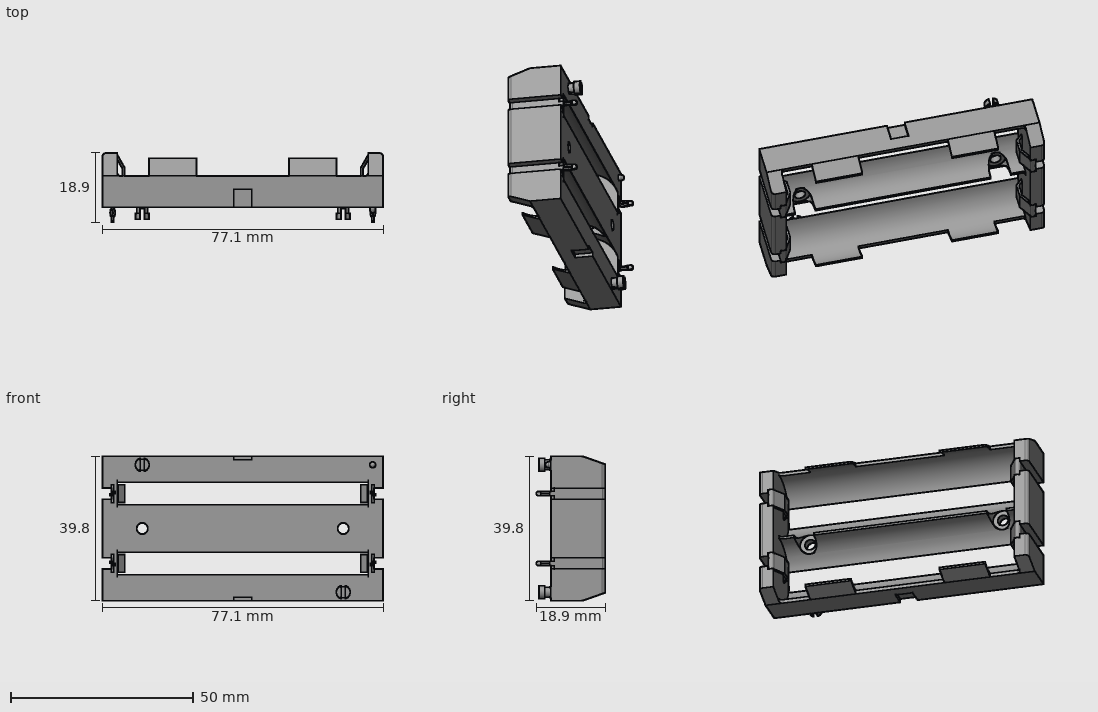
import cadquery as cq
import math


length = 77.1
width = 39.8
wall_height = 14.95
rim_height = 8.6
end_wall = 4.1
wall_top_slope = 2.2
outer_fillet = 1.0
foot_fillet = 0.9

cell_pitch = 19.2
cell_radius = 9.25
window_width = 6.1
trough_axis_y = math.sqrt(cell_radius**2 - (window_width / 2) ** 2)

tab_length = 13.1
tab_offset = 19.2
tab_top = 13.6
tab_stock = 0.9
tab_embed = 0.8

hole_offset = 27.6
hole_diameter = 3.0
counterbore_diameter = 5.7
counterbore_floor = 2.3
post_offset_z = 17.5
post_diameter = 3.1
post_head_diameter = 3.8
post_neck_length = 1.6
post_length = 3.3
post_slit = 1.15
post_slit_root = 0.3
pin_offset_x = 35.7
pin_diameter = 1.6
pin_shank = 0.7

notch_length = 4.9
notch_height = 4.9
notch_depth = 1.0

sheet = 0.7
contact_width = 4.9
contact_inset = 2.5
groove_width = 3.0
shoulder_height = 1.0
fold_radius = 0.85
arm_angle = 30.0
arm_reach = 6.2
press_bottom = 6.95
return_angle = 45.0
arm_end_gap = 0.2
lead_width = 1.2
lead_length = 4.0
lead_point = 0.4
bow_start = 0.2
bow_end = 2.7
bow_height = 0.4

signs = (-1, 1)
half_length = length / 2
half_width = width / 2
cell_z = cell_pitch / 2

outer_x = -half_length + contact_inset
inner_x = outer_x + sheet
wall_inner_x = -half_length + end_wall
press_x = -half_length + arm_reach
fold_x = outer_x + fold_radius
fold_y = wall_height - fold_radius
lean = math.radians(arm_angle)
return_lean = math.radians(return_angle)


def fold_point(radius, angle):
    """Point on the fold over the end wall, at an angle from +X."""
    return (fold_x + radius * math.cos(angle), fold_y + radius * math.sin(angle))


def along_arm(start, x):
    """Point where the sloping line from start reaches x."""
    return (x, start[1] - (x - start[0]) / math.tan(lean))


fold_inner_radius = fold_radius - sheet
arm_outer_start = fold_point(fold_radius, lean)
arm_inner_start = fold_point(fold_inner_radius, lean)


def box(x_range, y_range, z_range):
    """Block between two limits on each axis."""
    size = [high - low for low, high in (x_range, y_range, z_range)]
    corner = (x_range[0], y_range[0], z_range[0])
    return cq.Workplane(cq.Solid.makeBox(*size, cq.Vector(*corner)))


def y_cylinder(x, z, diameter, y_low, y_high):
    """Round bar along Y."""
    base = cq.Vector(x, y_low, z)
    return cq.Workplane(cq.Solid.makeCylinder(diameter / 2, y_high - y_low, base, cq.Vector(0, 1, 0)))


def x_prism(points, x_low, x_high):
    """Outline of (y, z) points extruded along X."""
    return cq.Workplane("YZ").workplane(offset=x_low).polyline(points).close().extrude(x_high - x_low)


def at_each_contact(part):
    """Copies of a part of the -X, +Z contact station at all four stations."""
    copies = []
    for x_sign in signs:
        for z_sign in signs:
            copy = part if x_sign < 0 else part.mirror("YZ")
            copies.append(copy if z_sign > 0 else copy.mirror("XY"))
    return copies


def slope_z(y):
    """Half width of the sloping outside above the rim."""
    return half_width - wall_top_slope * (y - rim_height) / (wall_height - rim_height)


def shell():
    """Base block with an end wall at each end and sloping wall sides."""
    body = box((-half_length, half_length), (0, wall_height), (-half_width, half_width))
    body = body.faces(">Y").edges("|Z").fillet(outer_fillet)
    between_walls = box(
        (wall_inner_x, -wall_inner_x),
        (rim_height, wall_height),
        (-half_width, half_width),
    )
    body = body.cut(between_walls.faces("<Y").edges("|Z").fillet(foot_fillet))
    side_outline = [
        (0, -half_width),
        (rim_height, -half_width),
        (wall_height, -slope_z(wall_height)),
        (wall_height, slope_z(wall_height)),
        (rim_height, half_width),
        (0, half_width),
    ]
    return body.intersect(x_prism(side_outline, -half_length, half_length))


def tab(x_sign, z_sign):
    """Retaining tab on a side wall; the trough gives it its curved inner face."""
    tip_z = slope_z(tab_top)
    root_y = rim_height - tab_embed
    outline = [
        (root_y, z_sign * (half_width - tab_stock - tab_embed)),
        (root_y, z_sign * half_width),
        (rim_height, z_sign * half_width),
        (tab_top, z_sign * tip_z),
        (tab_top, z_sign * (tip_z - tab_stock)),
    ]
    centre = x_sign * tab_offset
    return x_prism(outline, centre - tab_length / 2, centre + tab_length / 2)


def trough(z_sign):
    """Round cell space between the end walls."""
    base = cq.Vector(wall_inner_x, trough_axis_y, z_sign * cell_z)
    return cq.Workplane(cq.Solid.makeCylinder(cell_radius, -2 * wall_inner_x, base, cq.Vector(1, 0, 0)))


def post(x_sign):
    """Headed, slit locating post below the mounting face."""
    x = x_sign * hole_offset
    z = -x_sign * post_offset_z
    head = y_cylinder(x, z, post_head_diameter, -post_length, -post_neck_length)
    neck = y_cylinder(x, z, post_diameter, -post_neck_length, 0)
    slit = box(
        (x - post_slit / 2, x + post_slit / 2),
        (-post_length, -post_slit_root),
        (z - post_head_diameter, z + post_head_diameter),
    )
    return neck.union(head).cut(slit)


def polarity_pin():
    """Short round-ended pin at one corner of the mounting face."""
    shank = y_cylinder(pin_offset_x, post_offset_z, pin_diameter, -pin_shank, 0)
    dome = cq.Workplane().sphere(pin_diameter / 2).translate((pin_offset_x, -pin_shank, post_offset_z))
    return shank.union(dome)


def contact_space():
    """Room for one contact: slot, outside groove, and opening where the arm leaves the wall."""
    z_slot = (cell_z - contact_width / 2, cell_z + contact_width / 2)
    z_groove = (cell_z - groove_width / 2, cell_z + groove_width / 2)
    slot = box((outer_x, inner_x), (0, wall_height), z_slot)
    groove = box((-half_length, outer_x), (0, wall_height), z_groove)
    opening = (
        cq.Workplane("XY", origin=(0, 0, z_slot[0]))
        .polyline([
            (inner_x, fold_y),
            arm_inner_start,
            along_arm(arm_inner_start, wall_inner_x),
            (wall_inner_x, wall_height),
            (inner_x, wall_height),
        ])
        .close()
        .extrude(contact_width)
    )
    return slot.union(groove).union(opening)


def housing():
    body = shell()
    for x_sign in signs:
        for z_sign in signs:
            body = body.union(tab(x_sign, z_sign))
    for z_sign in signs:
        body = body.cut(trough(z_sign))
        edge = z_sign * half_width
        notch_z = sorted((edge, edge - z_sign * notch_depth))
        body = body.cut(box((-notch_length / 2, notch_length / 2), (0, notch_height), notch_z))
    for x_sign in signs:
        x = x_sign * hole_offset
        body = body.cut(y_cylinder(x, 0, hole_diameter, 0, rim_height))
        body = body.cut(y_cylinder(x, 0, counterbore_diameter, counterbore_floor, wall_height))
        body = body.union(post(x_sign))
    body = body.union(polarity_pin())
    for space in at_each_contact(contact_space()):
        body = body.cut(space)
    return body


def spring():
    """Sheet in the wall slot, folded over the wall into a bent, sprung arm."""
    mitre = sheet * math.tan(lean / 2)
    over_top = math.pi / 2
    press_top = along_arm(arm_outer_start, press_x)
    arm_end_x = wall_inner_x + arm_end_gap
    return_mitre = sheet * math.tan(return_lean / 2)
    return_drop = (press_x - arm_end_x) / math.tan(return_lean)
    inner_drop = (press_x - sheet - arm_end_x) / math.tan(return_lean)
    return (
        cq.Workplane("XY", origin=(0, 0, cell_z - contact_width / 2))
        .moveTo(outer_x, shoulder_height)
        .lineTo(outer_x, fold_y)
        .threePointArc(fold_point(fold_radius, over_top), arm_outer_start)
        .lineTo(*press_top)
        .lineTo(press_x, press_bottom)
        .lineTo(arm_end_x, press_bottom - return_drop)
        .lineTo(arm_end_x, press_bottom + return_mitre - inner_drop)
        .lineTo(press_x - sheet, press_bottom + return_mitre)
        .lineTo(press_x - sheet, press_top[1] - mitre)
        .lineTo(*arm_inner_start)
        .threePointArc(fold_point(fold_inner_radius, over_top), (inner_x, fold_y))
        .lineTo(inner_x, shoulder_height)
        .close()
        .extrude(contact_width)
    )


def lead_half(side):
    """One half of the split solder lead, bowed towards +X above its middle and -X below."""
    bow = side * bow_height
    bow_middle = -(bow_start + bow_end) / 2
    strip = (
        cq.Workplane("XY", origin=(0, 0, cell_z))
        .moveTo(outer_x, shoulder_height)
        .lineTo(outer_x, -bow_start)
        .threePointArc((outer_x + bow, bow_middle), (outer_x, -bow_end))
        .lineTo(outer_x, -lead_length)
        .lineTo(inner_x, -lead_length)
        .lineTo(inner_x, -bow_end)
        .threePointArc((inner_x + bow, bow_middle), (inner_x, -bow_start))
        .lineTo(inner_x, shoulder_height)
        .close()
        .extrude(side * lead_width / 2)
    )
    return strip.faces("<Y").edges(">Z" if side > 0 else "<Z").chamfer(lead_point)


def contact():
    return spring().union(lead_half(1)).union(lead_half(-1))


contacts = at_each_contact(contact())
result = cq.Compound.makeCompound([housing().val(), *[part.val() for part in contacts]])